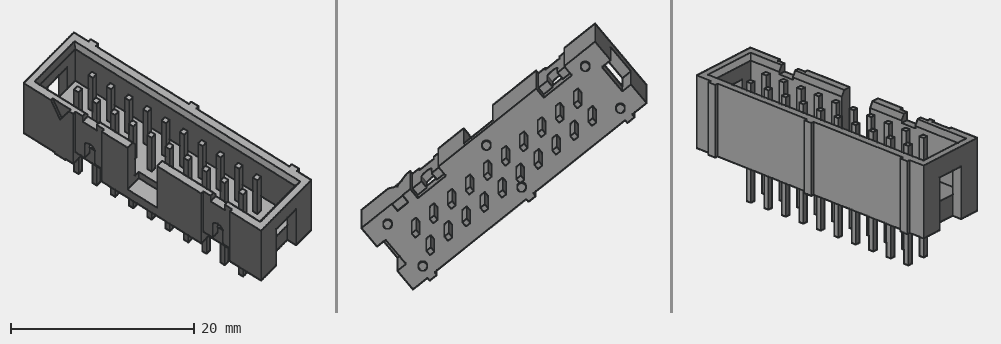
import cadquery as cq


length = 33.0
depth = 8.9
height = 8.95
floor_top = 2.6
end_wall = 1.22
side_wall = 1.32
lead_in_width = 0.4
lead_in_depth = 0.7
front_face = -depth / 2
back_face = depth / 2

pitch = 2.55
pins_per_row = 10
pin_size = 0.63
pin_below = 6.0
pin_recess = 0.3
pin_top = height - pin_recess
first_pin_x = -pitch * (pins_per_row - 1) / 2

window_width = 3.5
window_top = 6.47

key_width = 4.1
key_depth = 1.98
key_bottom = 1.5

latch_positions = (-3 * pitch, 4 * pitch)
recess_width = 3.95
recess_depth = 0.4
foot_height = 1.68
arch_width = 1.42
arch_top = 4.7
notch_width = 1.98
notch_depth = 1.0

rib_width = 1.02
rib_depth = 0.4
standoff_diameter = 1.0
standoff_height = 0.5
standoff_row_y = 3.05
rib_spacing = 13.95

triangle_width = 2.5
triangle_height = 2.48
triangle_depth = 0.3
tab_width = 1.52
tab_depth = 1.0
tab_height = 0.2


def block(x_range, y_range, z_range):
    """Box filling the given ranges along X, Y and Z."""
    spans = [end - start for start, end in (x_range, y_range, z_range)]
    corner = (x_range[0], y_range[0], z_range[0])
    return cq.Workplane("XY").box(*spans, centered=False).translate(corner)


def around(center, width):
    """Range of the given width centred on a position."""
    return (center - width / 2, center + width / 2)


def from_front(cut_depth):
    """Y range reaching from the front face into the housing."""
    return (front_face, front_face + cut_depth)


def front_plane():
    """Sketch plane on the front face; negative extrusions go into the housing."""
    return cq.Workplane("XZ", origin=(0, front_face, 0))


def shell():
    """Open-topped box with a sloped lead-in around the mouth."""
    inner_length = length - 2 * end_wall
    inner_depth = depth - 2 * side_wall
    body = block(around(0, length), around(0, depth), (0, height))
    cavity = block(around(0, inner_length), around(0, inner_depth), (floor_top, height))
    lead_in = (
        cq.Workplane("XY", origin=(0, 0, height - lead_in_depth))
        .rect(inner_length, inner_depth)
        .workplane(offset=lead_in_depth)
        .rect(inner_length + 2 * lead_in_width, inner_depth + 2 * lead_in_width)
        .loft(ruled=True)
    )
    return body.cut(cavity).cut(lead_in)


def latch_cut(x):
    """Shallow recess, top notch, and arched opening above a wide foot opening."""
    recess = block(around(x, recess_width), from_front(recess_depth), (0, height))
    notch = block(around(x, notch_width), from_front(side_wall), (height - notch_depth, height))
    foot = block(around(x, recess_width), from_front(side_wall), (0, foot_height))
    half = arch_width / 2
    arch = (
        front_plane()
        .moveTo(x - half, 0)
        .lineTo(x - half, arch_top - half)
        .threePointArc((x, arch_top), (x + half, arch_top - half))
        .lineTo(x + half, 0)
        .close()
        .extrude(-side_wall)
    )
    return recess.union(notch).union(foot).union(arch)


def triangle_mark():
    """Pin 1 triangle, hanging from the rim and pointing down."""
    corners = [
        (first_pin_x - triangle_width / 2, height),
        (first_pin_x + triangle_width / 2, height),
        (first_pin_x, height - triangle_height),
    ]
    return front_plane().polyline(corners).close().extrude(-triangle_depth)


housing = shell()

for wall_range in ((-length / 2, -length / 2 + end_wall), (length / 2 - end_wall, length / 2)):
    housing = housing.cut(block(wall_range, around(0, window_width), (0, window_top)))
housing = housing.cut(block(around(0, key_width), from_front(key_depth), (key_bottom, height)))
for latch_x in latch_positions:
    housing = housing.cut(latch_cut(latch_x))
housing = housing.cut(triangle_mark())

for rib_x in (-rib_spacing, 0, rib_spacing):
    housing = housing.union(block(around(rib_x, rib_width), (back_face, back_face + rib_depth), (0, height)))
    for row_y in (-standoff_row_y, standoff_row_y):
        standoff = cq.Workplane("XY").center(rib_x, row_y).circle(standoff_diameter / 2)
        housing = housing.union(standoff.extrude(-standoff_height))
housing = housing.union(block(around(first_pin_x, tab_width), from_front(tab_depth), (-tab_height, 0)))

pins = (
    cq.Workplane("XY", origin=(0, 0, -pin_below))
    .rarray(pitch, pitch, pins_per_row, 2)
    .rect(pin_size, pin_size)
    .extrude(pin_below + pin_top)
)

result = housing.union(pins)